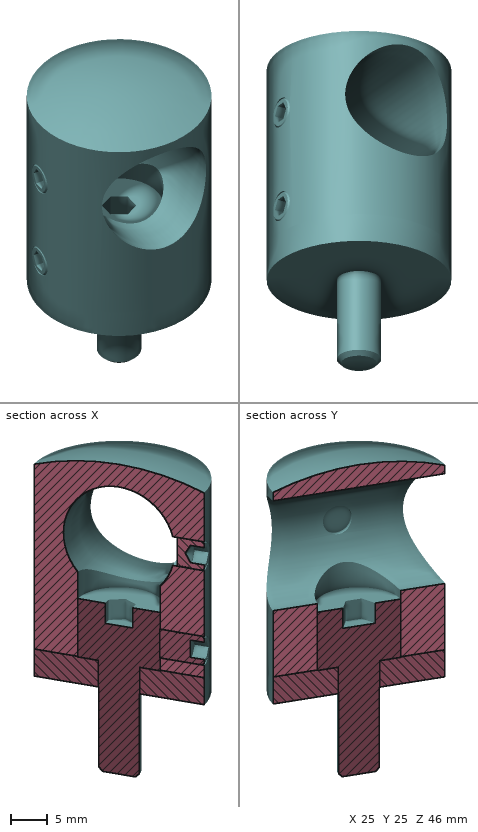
import cadquery as cq
import math


body_diameter = 25.0
body_radius = body_diameter / 2
base_height = 4.0
housing_height = 27.45
dome_height = 2.1
rim_z = base_height + housing_height

bore_diameter = 16.2
bore_z = 22.0

bolt_length = 25.05
bolt_reach = 12.4
shank_diameter = 6.0
shank_chamfer = 0.6
head_diameter = 12.0
head_height = bolt_length - bolt_reach - base_height
bolt_socket_flats = 4.0
bolt_socket_depth = 3.0

screw_diameter = 4.2
screw_chamfer = 0.25
screw_socket_flats = 2.5
screw_socket_depth = 2.0
clamp_screw_z = bore_z
clamp_screw_length = 4.0
socket_point_depth = 0.75
lock_screw_z = 8.0
lock_screw_length = body_radius - head_diameter / 2


def across_corners(flats):
    """Corner-to-corner width of a hexagon with a given width across its flats."""
    return flats / math.cos(math.pi / 6)


def dome_sag(radius):
    """Drop of the spherical dome below its apex at a given distance from the axis."""
    sphere_radius = (body_radius**2 + dome_height**2) / (2 * dome_height)
    return sphere_radius - math.sqrt(sphere_radius**2 - radius**2)


def make_housing():
    """Cylinder with a domed top, bored for the crossbar, the bolt head and the set screws."""
    apex_z = rim_z + dome_height
    dome_mid = (body_radius / 2, apex_z - dome_sag(body_radius / 2))
    blank = (
        cq.Workplane("XZ")
        .moveTo(0, base_height)
        .lineTo(body_radius, base_height)
        .lineTo(body_radius, rim_z)
        .threePointArc(dome_mid, (0, apex_z))
        .close()
        .revolve(360, (0, 0), (0, 1))
    )
    bar_bore = (
        cq.Workplane("YZ")
        .center(0, bore_z)
        .circle(bore_diameter / 2)
        .extrude(body_radius, both=True)
    )
    head_bore = (
        cq.Workplane("XY")
        .workplane(offset=base_height)
        .circle(head_diameter / 2)
        .extrude(bore_z - base_height)
    )
    screw_holes = (
        cq.Workplane("XZ")
        .pushPoints([(0, clamp_screw_z), (0, lock_screw_z)])
        .circle(screw_diameter / 2)
        .extrude(body_radius)
    )
    return blank.cut(bar_bore).cut(head_bore).cut(screw_holes)


def make_base():
    """Plain disc with a close-fitting hole for the bolt shank."""
    return (
        cq.Workplane("XY")
        .circle(body_radius)
        .circle(shank_diameter / 2)
        .extrude(base_height)
    )


def make_bolt():
    """Round-headed bolt whose head rests on the base, with a hexagon socket in its top."""
    shank = (
        cq.Workplane("XY")
        .workplane(offset=-bolt_reach)
        .circle(shank_diameter / 2)
        .extrude(bolt_reach + base_height)
        .faces("<Z")
        .chamfer(shank_chamfer)
    )
    head = (
        cq.Workplane("XY")
        .workplane(offset=base_height)
        .circle(head_diameter / 2)
        .extrude(head_height)
    )
    socket = (
        cq.Workplane("XY")
        .workplane(offset=base_height + head_height)
        .polygon(6, across_corners(bolt_socket_flats))
        .extrude(-bolt_socket_depth)
    )
    return shank.union(head).cut(socket)


def make_set_screw(height, length, point_depth):
    """Headless screw, flush with the housing at -Y; its socket may end in a conical point."""
    outer_face = cq.Workplane("XZ", origin=(0, -body_radius, height))
    screw = (
        outer_face.circle(screw_diameter / 2)
        .extrude(-length)
        .faces("<Y")
        .chamfer(screw_chamfer)
    )
    socket_corners = across_corners(screw_socket_flats)
    socket = outer_face.polygon(6, socket_corners).extrude(-screw_socket_depth)
    screw = screw.cut(socket)
    if point_depth > 0:
        socket_floor = cq.Vector(0, screw_socket_depth - body_radius, height)
        point = cq.Solid.makeCone(
            screw_socket_flats / 2, 0, point_depth, socket_floor, cq.Vector(0, 1, 0)
        )
        screw = screw.cut(cq.Workplane(obj=point))
    return screw


housing = make_housing()
base = make_base()
bolt = make_bolt()
set_screws = [
    make_set_screw(height, length, point_depth)
    for height, length, point_depth in (
        (clamp_screw_z, clamp_screw_length, socket_point_depth),
        (lock_screw_z, lock_screw_length, 0),
    )
]

result = cq.Compound.makeCompound(
    [housing.val(), base.val(), bolt.val(), *[screw.val() for screw in set_screws]]
)